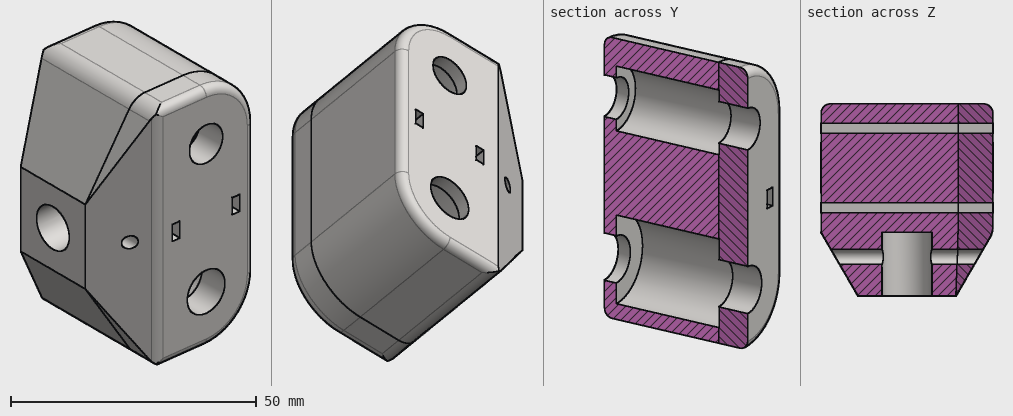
import cadquery as cq

WIDTH = 35.1
HEIGHT = 61.2
BLOCK_DEPTH = 26.2
NOSE_DEPTH = 13.0
NOSE_FACE = 20.0

BACK_Y = BLOCK_DEPTH / 2
BLOCK_FRONT_Y = -BLOCK_DEPTH / 2
NOSE_Y = BLOCK_FRONT_Y - NOSE_DEPTH
HALF_WIDTH = WIDTH / 2
HALF_HEIGHT = HEIGHT / 2
HALF_NOSE = NOSE_FACE / 2

BACK_CORNER_RADIUS = BLOCK_DEPTH / 2
RIM_RADIUS = 2.0
NOSE_BLEND_RADIUS = 5.0

LID_THICKNESS = 7.1
SPLIT_X = HALF_WIDTH - LID_THICKNESS

WALL = 3.0
BORE_Z = HALF_HEIGHT - BACK_CORNER_RADIUS
UPPER_HOLE_DIAMETER = 9.0
UPPER_BORE_DIAMETER = 14.0
LOWER_HOLE_DIAMETER = 10.2
LOWER_BORE_DIAMETER = 19.2
SLOT_Y = 8.1
SLOT_WIDTH = 2.0
SLOT_HEIGHT = 4.0
PIN_HOLE_DIAMETER = 3.0
PIN_HOLE_Y = -18.1

SOCKET_DIAMETER = 10.1
SOCKET_DEPTH = 13.0


def rounded_block():
    """Full-depth block with large round back corners and rounded rims on both X faces."""
    block = cq.Workplane("XY").box(WIDTH, BACK_Y - NOSE_Y, HEIGHT)
    block = block.translate((0, (BACK_Y + NOSE_Y) / 2, 0))
    block = block.edges("|X and >Y").fillet(BACK_CORNER_RADIUS)
    rim_edges = block.faces("<X or >X").edges("not <Y")
    return rim_edges.fillet(RIM_RADIUS)


def side_profile():
    """Prism along X that tapers the nose above and below."""
    profile = (
        cq.Workplane("YZ")
        .moveTo(BACK_Y, HALF_HEIGHT)
        .lineTo(BLOCK_FRONT_Y, HALF_HEIGHT)
        .lineTo(NOSE_Y, HALF_NOSE)
        .lineTo(NOSE_Y, -HALF_NOSE)
        .lineTo(BLOCK_FRONT_Y, -HALF_HEIGHT)
        .lineTo(BACK_Y, -HALF_HEIGHT)
        .close()
        .extrude(HALF_WIDTH, both=True)
    )
    for z in (-HALF_HEIGHT, HALF_HEIGHT):
        shoulder = cq.selectors.NearestToPointSelector((0, BLOCK_FRONT_Y, z))
        profile = profile.edges("|X").edges(shoulder).fillet(NOSE_BLEND_RADIUS)
    return profile


def plan_profile():
    """Prism along Z that tapers the nose on both X sides; only the +X shoulder is rounded."""
    profile = (
        cq.Workplane("XY")
        .moveTo(-HALF_WIDTH, BACK_Y)
        .lineTo(-HALF_WIDTH, BLOCK_FRONT_Y)
        .lineTo(-HALF_NOSE, NOSE_Y)
        .lineTo(HALF_NOSE, NOSE_Y)
        .lineTo(HALF_WIDTH, BLOCK_FRONT_Y)
        .lineTo(HALF_WIDTH, BACK_Y)
        .close()
        .extrude(HALF_HEIGHT, both=True)
    )
    shoulder = cq.selectors.NearestToPointSelector((HALF_WIDTH, BLOCK_FRONT_Y, 0))
    return profile.edges("|Z").edges(shoulder).fillet(NOSE_BLEND_RADIUS)


def housing_space():
    """Region on the housing side of the parting surface, which bends to meet the nose edge."""
    return (
        cq.Workplane("XY")
        .moveTo(-HALF_WIDTH, BACK_Y)
        .lineTo(SPLIT_X, BACK_Y)
        .lineTo(SPLIT_X, BLOCK_FRONT_Y)
        .lineTo(HALF_NOSE, NOSE_Y)
        .lineTo(-HALF_WIDTH, NOSE_Y)
        .close()
        .extrude(HALF_HEIGHT, both=True)
    )


def rod_along_x(diameter, y, z, start_x, end_x):
    """Round cutter along X."""
    return cq.Workplane("YZ", origin=(start_x, y, z)).circle(diameter / 2).extrude(end_x - start_x)


def through_holes():
    """Cutters that pass through both bodies along X."""
    cutters = [
        rod_along_x(UPPER_HOLE_DIAMETER, 0, BORE_Z, -HALF_WIDTH, HALF_WIDTH),
        rod_along_x(LOWER_HOLE_DIAMETER, 0, -BORE_Z, -HALF_WIDTH, HALF_WIDTH),
        rod_along_x(PIN_HOLE_DIAMETER, PIN_HOLE_Y, 0, -HALF_WIDTH, HALF_WIDTH),
    ]
    for y in (-SLOT_Y, SLOT_Y):
        cutters.append(cq.Workplane("XY").box(WIDTH, SLOT_WIDTH, SLOT_HEIGHT).translate((0, y, 0)))
    return cutters


def make_housing(shell):
    """Main body with two wide bores behind its outer wall and a socket in the nose."""
    housing = shell.intersect(housing_space())
    bore_start = -HALF_WIDTH + WALL
    housing = housing.cut(rod_along_x(UPPER_BORE_DIAMETER, 0, BORE_Z, bore_start, SPLIT_X))
    housing = housing.cut(rod_along_x(LOWER_BORE_DIAMETER, 0, -BORE_Z, bore_start, SPLIT_X))
    socket = cq.Workplane("XZ", origin=(0, NOSE_Y, 0)).circle(SOCKET_DIAMETER / 2).extrude(-SOCKET_DEPTH)
    return housing.cut(socket)


def make_lid(shell):
    """Plate on the +X side that closes the two bores."""
    return shell.cut(housing_space())


shell = rounded_block().intersect(side_profile()).intersect(plan_profile())
for cutter in through_holes():
    shell = shell.cut(cutter)
housing = make_housing(shell)
lid = make_lid(shell)

result = cq.Compound.makeCompound([housing.val(), lid.val()])